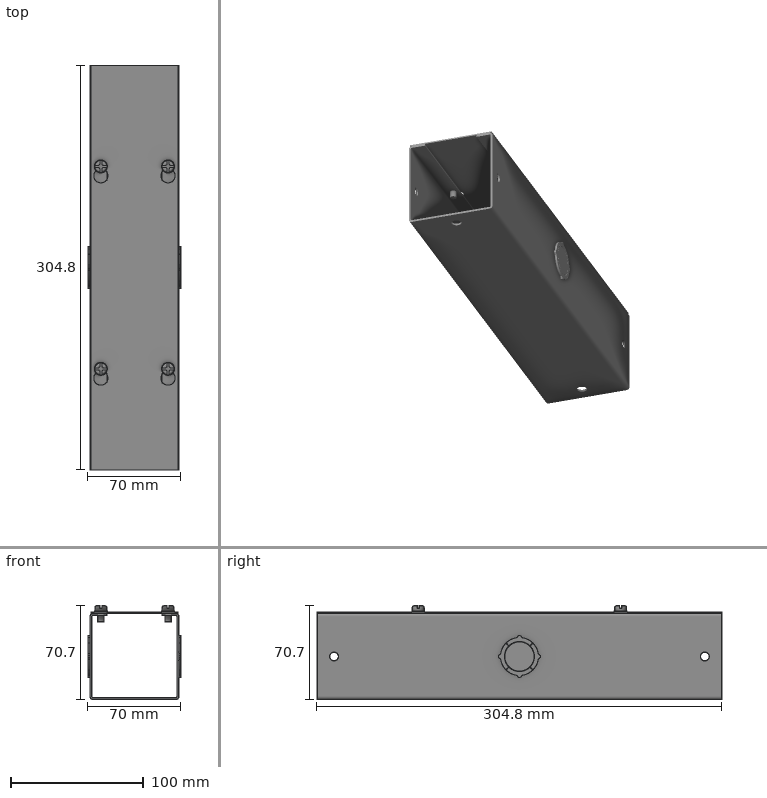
import cadquery as cq
import math

length = 304.8
channel_width = 67.0
channel_height = 65.0
sheet = 1.5
bend_radius = 2.5
lip_width = 12.8

lid_width = 65.2
lid_thickness = 1.0
lid_top = channel_height + lid_thickness

screw_x = 25.3
screw_y = 76.2
shank_diameter = 5.0
shank_bottom = 58.5
collar_diameter = 9.8
collar_thickness = 1.0
head_diameter = 9.0
head_top = 70.7
head_rounding = 1.5
slot_width = 1.37
slot_depth = 1.8
recess_half_diagonal = 2.5
keyhole_diameter = 10.7
keyhole_offset = 7.0

side_hole_diameter = 6.5
floor_hole_diameter = 7.5
mounting_hole_y = 139.5
mid_height = channel_height / 2

knockout_height = 1.5
knockout_radius = 14.3
slug_radius = 11.3
groove_width = 0.25
tab_count = 4
tab_tip_radius = 16.0
tab_base_width = 4.3
tab_tip_width = 1.2
tab_base_radius = math.sqrt(knockout_radius**2 - (tab_base_width / 2) ** 2)

SCREW_PLACES = [(x, y) for x in (-screw_x, screw_x) for y in (-screw_y, screw_y)]
MOUNTING_HOLE_YS = [-mounting_hole_y, mounting_hole_y]


def make_profile():
    """Plain C-section running along Y, with rounded bends and open between its lips."""
    outer = (
        cq.Workplane("XY")
        .box(channel_width, length, channel_height, centered=(True, True, False))
        .edges("|Y")
        .fillet(bend_radius)
    )
    inner = (
        cq.Workplane("XY")
        .workplane(offset=sheet)
        .box(
            channel_width - 2 * sheet,
            length,
            channel_height - 2 * sheet,
            centered=(True, True, False),
        )
        .edges("|Y")
        .fillet(bend_radius - sheet)
    )
    top_opening = (
        cq.Workplane("XY")
        .workplane(offset=mid_height)
        .box(channel_width - 2 * lip_width, length, channel_height, centered=(True, True, False))
    )
    return outer.cut(inner).cut(top_opening)


def make_knockout():
    """Flat embossing on the XY plane: a slug and a ring parted by grooves, with pointed tabs."""
    knockout = cq.Workplane("XY").circle(knockout_radius).extrude(knockout_height)
    tab = (
        cq.Workplane("XY")
        .polyline([
            (0, -tab_base_width / 2),
            (tab_base_radius, -tab_base_width / 2),
            (tab_tip_radius, -tab_tip_width / 2),
            (tab_tip_radius, tab_tip_width / 2),
            (tab_base_radius, tab_base_width / 2),
            (0, tab_base_width / 2),
        ])
        .close()
        .extrude(knockout_height)
    )
    groove = (
        cq.Workplane("XY")
        .circle(slug_radius)
        .circle(slug_radius - groove_width)
        .extrude(knockout_height)
    )
    ring_width = knockout_radius - slug_radius
    slit = (
        cq.Workplane("XY")
        .center(slug_radius + ring_width / 2, 0)
        .rect(ring_width, groove_width)
        .extrude(knockout_height)
    )
    pitch = 360 / tab_count
    for index in range(tab_count):
        knockout = knockout.union(tab.rotate((0, 0, 0), (0, 0, 1), index * pitch))
    knockout = knockout.cut(groove)
    for index in range(tab_count):
        knockout = knockout.cut(slit.rotate((0, 0, 0), (0, 0, 1), (index + 0.5) * pitch))
    return knockout


def make_channel():
    channel = make_profile()

    for side in (-1, 1):
        knockout = (
            make_knockout()
            .rotate((0, 0, 0), (0, 1, 0), side * 90)
            .translate((side * channel_width / 2, 0, mid_height))
        )
        channel = channel.union(knockout)

    side_holes = (
        cq.Workplane("YZ")
        .pushPoints([(y, mid_height) for y in MOUNTING_HOLE_YS])
        .circle(side_hole_diameter / 2)
        .extrude(channel_width, both=True)
    )
    floor_holes = (
        cq.Workplane("XY")
        .pushPoints([(0, y) for y in MOUNTING_HOLE_YS])
        .circle(floor_hole_diameter / 2)
        .extrude(mid_height)
    )

    screw_holes = (
        cq.Workplane("XY")
        .workplane(offset=mid_height)
        .pushPoints(SCREW_PLACES)
        .circle(shank_diameter / 2)
        .extrude(channel_height)
    )
    return channel.cut(side_holes).cut(floor_holes).cut(screw_holes)


def make_lid():
    lid = (
        cq.Workplane("XY")
        .workplane(offset=channel_height)
        .box(lid_width, length, lid_thickness, centered=(True, True, False))
    )
    for x, y in SCREW_PLACES:
        base = cq.Workplane("XY").workplane(offset=channel_height)
        entry = base.center(x, y - keyhole_offset).circle(keyhole_diameter / 2).extrude(lid_thickness)
        slot = (
            base.center(x, y - keyhole_offset / 2)
            .slot2D(keyhole_offset + shank_diameter, shank_diameter, 90)
            .extrude(lid_thickness)
        )
        lid = lid.cut(entry).cut(slot)
    return lid


def make_screw(x, y):
    collar = (
        cq.Workplane("XY")
        .workplane(offset=lid_top)
        .circle(collar_diameter / 2)
        .extrude(collar_thickness)
    )
    head_bottom = lid_top + collar_thickness
    head = (
        cq.Workplane("XY")
        .workplane(offset=head_bottom)
        .circle(head_diameter / 2)
        .extrude(head_top - head_bottom)
        .faces(">Z")
        .edges()
        .fillet(head_rounding)
    )
    shank = (
        cq.Workplane("XY")
        .workplane(offset=shank_bottom)
        .circle(shank_diameter / 2)
        .extrude(lid_top - shank_bottom)
    )
    drive_floor = cq.Workplane("XY").workplane(offset=head_top - slot_depth)
    slots = (
        drive_floor.rect(head_diameter, slot_width)
        .extrude(slot_depth)
        .union(drive_floor.rect(slot_width, head_diameter).extrude(slot_depth))
    )
    recess = drive_floor.polygon(4, 2 * recess_half_diagonal).extrude(slot_depth)
    return head.union(collar).union(shank).cut(slots).cut(recess).translate((x, y, 0))


channel = make_channel()
lid = make_lid()
screws = [make_screw(x, y) for x, y in SCREW_PLACES]

result = cq.Compound.makeCompound(
    [channel.val(), lid.val(), *[screw.val() for screw in screws]]
)